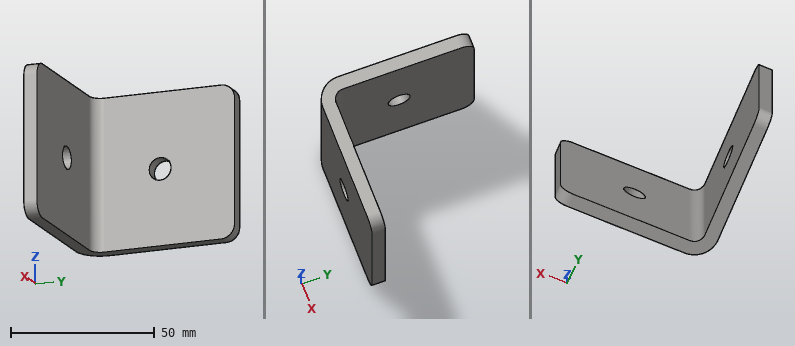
import cadquery as cq

leg = 58.0
height = 56.0
thickness = 5.0
inner_bend = 4.0
corner_radius = 5.0
hole_diameter = 8.2

hole_position = leg - height / 2
hole_height = height / 2
outer_bend = inner_bend + thickness


def bent_sheet():
    """L-shaped sheet with its outer corner at the origin and a rounded bend."""
    profile = (
        cq.Workplane("XY")
        .polyline([(0, 0), (leg, 0), (leg, thickness), (thickness, thickness), (thickness, leg), (0, leg)])
        .close()
    )
    sheet = profile.extrude(height)
    sheet = sheet.edges(cq.selectors.NearestToPointSelector((0, 0, hole_height))).fillet(outer_bend)
    inside_edge = cq.selectors.NearestToPointSelector((thickness, thickness, hole_height))
    return sheet.edges(inside_edge).fillet(inner_bend)


def round_free_corners(sheet):
    """Round the upper and lower corners at the free end of both legs."""
    sheet = sheet.faces(">X").edges("|Y").fillet(corner_radius)
    return sheet.faces(">Y").edges("|X").fillet(corner_radius)


def leg_holes():
    """One through-hole cutter for each leg."""
    front_hole = (
        cq.Workplane("XZ")
        .center(hole_position, hole_height)
        .circle(hole_diameter / 2)
        .extrude(-thickness)
    )
    side_hole = (
        cq.Workplane("YZ")
        .center(hole_position, hole_height)
        .circle(hole_diameter / 2)
        .extrude(thickness)
    )
    return front_hole.union(side_hole)


result = round_free_corners(bent_sheet()).cut(leg_holes())